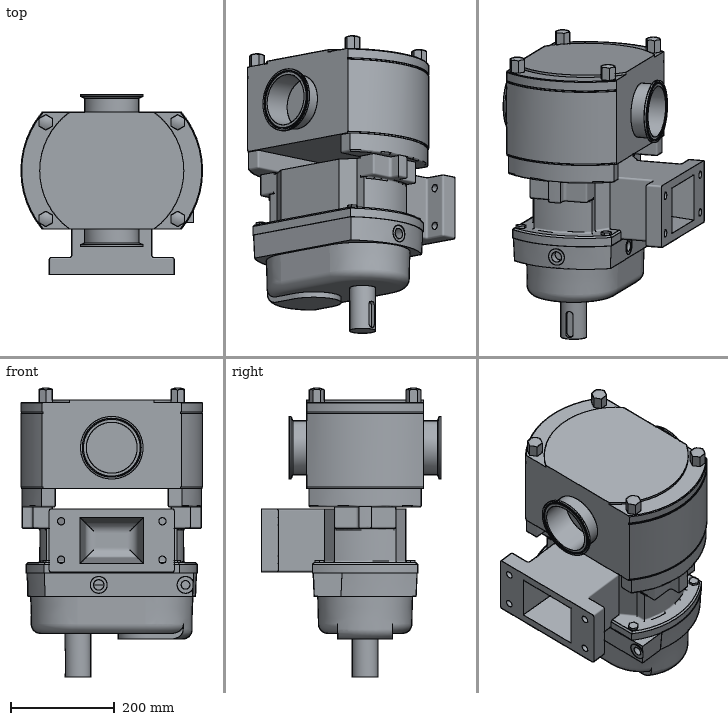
import cadquery as cq
import math


fit = 0.5

shaft_end_z = 0.0
pad_bottom_z = 73.5
bowl_bottom_z = 84.0
gearcase_bottom_z = 155.5
gearcase_top_z = 200.5
plate_top_z = 221.0
arm_bottom_z = 286.5
column_top_z = 324.5
saddle_bottom_z = 328.0
head_bottom_z = 363.5
lid_joint_z = 509.5
lid_top_z = 529.5
crown_top_z = 534.0
nut_top_z = 557.5

head_radius = 175.0
head_half_depth = 112.5
crown_radius = 139.0
joint_groove_height = 3.0
joint_groove_depth = 1.0
lid_edge_chamfer = 1.5

nut_x = 127.0
nut_y = 93.0
nut_across_flats = 25.5
nut_dome_radius = 29.0

nozzle_z = 442.0
nozzle_end_y = 146.5
nozzle_tube_radius = 52.5
nozzle_bore_radius = 49.0
nozzle_bore_depth = 56.0
ferrule_radius = 60.0
ferrule_rim = 4.0
ferrule_cone = 3.5
gasket_groove_radius = 54.5
gasket_groove_width = 2.0
gasket_groove_depth = 1.0

saddle_radius = 173.5
saddle_half_depth = 108.0
saddle_inner_x = 108.5
saddle_fillet = 3.5
arm_x = 151.5
arm_half_depth = 59.0
rib_radius = 173.0
rib_half_width = 12.0
rib_fillet = 5.5
arm_fillet = 3.5

column_wall_radius = 139.0
column_half_depth = 78.5
column_side_x = 115.5
column_side_half_depth = 53.5
column_face_half_width = 77.5
column_fillet = 3.5

bracket_half_width = 77.5
foot_half_width = 120.5
foot_thickness = 33.0
foot_face_y = -200.0
bracket_top_z = column_top_z
bracket_bottom_z = 202.5
bracket_fillet = 4.0
foot_hole_radius = 6.95
foot_hole_x = 97.5
foot_hole_spacing_z = 74.0
pocket_width = 122.5
pocket_height = 89.0
pocket_depth = 122.5
pocket_draft = 6.0
pocket_fillet = 19.5

plate_radius = 165.0
plate_half_depth = 101.5
plate_chamfer = 3.5
gearcase_radius = 164.0
gearcase_half_depth = 100.5
gearcase_draft = 2.5
plate_bolt_x = 122.0
plate_bolt_y = 87.5
plate_bolt_diameter = 20.0
plate_bolt_height = 4.5
port_z = 178.0
port_face_radius = 16.0
port_face_depth = 2.0
port_bore_radius = 10.0
port_bore_depth = 22.5
front_port_x = -25.0
boss_x = 142.0
boss_radius = 15.5
boss_bore_radius = 8.5
boss_length = 56.0

bowl_center_x = 65.0
bowl_radius = 91.5
bowl_draft = 1.5
bowl_fillet = 18.5
pad_radius = 53.0

shaft_x = -bowl_center_x
shaft_radius = 25.0
key_half_width = 7.5
key_bottom_z = 3.5
key_top_z = 54.5
key_depth = 8.5


def block(x_min, x_max, y_min, y_max, z_min, z_max):
    """Box given by its limits along the three axes."""
    size = (x_max - x_min, y_max - y_min, z_max - z_min)
    return cq.Workplane("XY").box(*size, centered=False).translate((x_min, y_min, z_min))


def disc(radius, z_min, z_max, x=0.0):
    """Upright cylinder between two heights."""
    return cq.Workplane("XY", origin=(x, 0, z_min)).circle(radius).extrude(z_max - z_min)


def barrel_outline(workplane, radius, half_depth):
    """Circle cut off by two flats, at front and back."""
    corner_x = math.sqrt(radius**2 - half_depth**2)
    return (
        workplane.moveTo(-corner_x, -half_depth)
        .lineTo(corner_x, -half_depth)
        .threePointArc((radius, 0), (corner_x, half_depth))
        .lineTo(-corner_x, half_depth)
        .threePointArc((-radius, 0), (-corner_x, -half_depth))
        .close()
    )


def barrel(radius, half_depth, z_min, z_max):
    """Upright solid on the flatted circle."""
    workplane = cq.Workplane("XY", origin=(0, 0, z_min))
    return barrel_outline(workplane, radius, half_depth).extrude(z_max - z_min)


def on_both_sides(solid):
    """The solid together with its mirror image across the YZ plane."""
    return solid.union(solid.mirror("YZ"))


def make_head():
    head = barrel(head_radius, head_half_depth, head_bottom_z, lid_top_z)
    head = head.edges(">Z and %CIRCLE").chamfer(lid_edge_chamfer)
    ring = cq.Workplane("XY").circle(head_radius + 5.5).circle(head_radius - joint_groove_depth)
    groove = ring.extrude(joint_groove_height)
    for groove_z in (head_bottom_z, lid_joint_z - joint_groove_height / 2):
        head = head.cut(groove.translate((0, 0, groove_z)))
    return head.union(barrel(crown_radius, head_half_depth, lid_top_z, crown_top_z))


def make_nuts():
    corner_diameter = nut_across_flats / math.cos(math.pi / 6)
    places = [(x, y) for x in (-nut_x, nut_x) for y in (-nut_y, nut_y)]
    nuts = cq.Workplane("XY")
    hexagon = cq.Workplane("XY").polygon(6, corner_diameter).extrude(nut_top_z - lid_top_z)
    hexagon = hexagon.rotate((0, 0, 0), (0, 0, 1), 30)
    dome = cq.Workplane("XY").sphere(nut_dome_radius)
    nut = hexagon.intersect(dome.translate((0, 0, nut_top_z - lid_top_z - nut_dome_radius)))
    for x, y in places:
        nuts = nuts.union(nut.translate((x, y, lid_top_z)))
    return nuts


def make_nozzle():
    """Front nozzle: tube with a conical ferrule and a gasket groove in its face."""
    cone_end = nozzle_end_y - ferrule_rim - ferrule_cone
    groove_outer = gasket_groove_radius + gasket_groove_width
    groove_floor = nozzle_end_y - gasket_groove_depth
    profile = [
        (0, 0),
        (nozzle_tube_radius, 0),
        (nozzle_tube_radius, cone_end),
        (ferrule_radius, nozzle_end_y - ferrule_rim),
        (ferrule_radius, nozzle_end_y),
        (groove_outer, nozzle_end_y),
        (groove_outer, groove_floor),
        (gasket_groove_radius, groove_floor),
        (gasket_groove_radius, nozzle_end_y),
        (0, nozzle_end_y),
    ]
    nozzle = cq.Workplane("XY").polyline(profile).close().revolve(360, (0, 0), (0, 1))
    return nozzle.mirror("XZ").translate((0, 0, nozzle_z))


def make_nozzle_bore():
    """Front port, running from the nozzle mouth into the head."""
    mouth = cq.Workplane("XZ", origin=(0, -nozzle_end_y, nozzle_z))
    return mouth.circle(nozzle_bore_radius).extrude(-nozzle_bore_depth)


def make_arms():
    """Saddles under the head, each held by an arm with an outer rib."""
    saddle = barrel(saddle_radius, saddle_half_depth, saddle_bottom_z, head_bottom_z)
    saddle = saddle.intersect(
        block(saddle_inner_x, head_radius, -head_radius, head_radius, saddle_bottom_z, head_bottom_z)
    )
    saddle = saddle.edges("<X and |Z").fillet(saddle_fillet)
    saddle = saddle.faces("<Z").edges().fillet(saddle_fillet)
    arm_end_z = (saddle_bottom_z + head_bottom_z) / 2
    arm = block(
        saddle_inner_x + 5.5, arm_x, -arm_half_depth, arm_half_depth, arm_bottom_z, arm_end_z
    )
    arm = arm.edges(">X and |Z").fillet(arm_fillet)
    rib = block(
        saddle_inner_x + 5.5, head_radius, -rib_half_width, rib_half_width, arm_bottom_z, arm_end_z
    )
    rib = rib.intersect(disc(rib_radius, arm_bottom_z, arm_end_z))
    arm = arm.union(rib)
    rib_root = cq.selectors.BoxSelector(
        (arm_x - fit, -rib_half_width - fit, arm_bottom_z),
        (arm_x + fit, rib_half_width + fit, arm_end_z),
    )
    arm = arm.edges("|Z").edges(rib_root).fillet(rib_fillet)
    arm = arm.faces("<Z").edges("not <X").fillet(arm_fillet)
    return on_both_sides(saddle.union(arm))


def make_column():
    """Column core with slanted corners at front and back."""
    outline = [
        (column_face_half_width, -column_half_depth),
        (column_side_x - fit, -column_side_half_depth),
        (column_side_x - fit, column_side_half_depth),
        (column_face_half_width, column_half_depth),
    ]
    outline += [(-x, y) for x, y in reversed(outline)]
    column = cq.Workplane("XY", origin=(0, 0, port_z)).polyline(outline).close()
    return column.extrude(column_top_z - port_z)


def make_arm_cove():
    """Hollow fillet between the round column wall and the underside of the arms."""
    start = column_wall_radius - column_fillet
    outer = column_wall_radius + column_fillet
    lower_z = arm_bottom_z - column_fillet
    upper_z = arm_bottom_z + column_fillet
    diagonal = column_fillet * math.sqrt(0.5)
    half_width = arm_half_depth - arm_fillet
    cove = (
        cq.Workplane("XZ")
        .moveTo(start, lower_z)
        .lineTo(column_wall_radius, lower_z)
        .threePointArc((outer - diagonal, lower_z + diagonal), (outer, arm_bottom_z))
        .lineTo(outer, upper_z)
        .lineTo(start, upper_z)
        .close()
        .revolve(360, (0, 0), (0, 1))
    )
    return cove.intersect(block(-outer, outer, -half_width, half_width, lower_z, upper_z))


def make_bracket():
    foot_back_y = foot_face_y + foot_thickness
    web = block(
        -bracket_half_width, bracket_half_width, foot_face_y, 0, bracket_bottom_z, bracket_top_z
    )
    foot = block(
        -foot_half_width, foot_half_width, foot_face_y, foot_back_y, bracket_bottom_z, bracket_top_z
    )
    bracket = web.union(foot)
    back_edges = cq.selectors.BoxSelector(
        (-foot_half_width - fit, foot_back_y - fit, bracket_bottom_z),
        (foot_half_width + fit, foot_back_y + fit, bracket_top_z),
    )
    bracket = bracket.edges("|Z").edges(back_edges).fillet(bracket_fillet)
    bracket = bracket.faces(">Z or <Z").edges("not (<Y or >Y)").fillet(bracket_fillet)
    middle_z = (bracket_bottom_z + bracket_top_z) / 2
    face = cq.Workplane("XZ", origin=(0, foot_face_y, middle_z))
    holes = (
        face.rect(2 * foot_hole_x, foot_hole_spacing_z, forConstruction=True)
        .vertices()
        .circle(foot_hole_radius)
        .extrude(-foot_thickness)
    )
    return bracket.cut(holes)


def make_pocket():
    """Drafted pocket in the foot face, with a rounded floor edge."""
    middle_z = (bracket_bottom_z + bracket_top_z) / 2
    mouth = cq.Workplane("XZ", origin=(0, foot_face_y, middle_z)).rect(pocket_width, pocket_height)
    pocket = mouth.extrude(-pocket_depth, taper=pocket_draft)
    return pocket.faces(">Y").edges().fillet(pocket_fillet)


def make_gearcase():
    plate = barrel(plate_radius, plate_half_depth, gearcase_top_z, plate_top_z)
    plate = plate.faces(">Z").edges().chamfer(plate_chamfer)
    top = cq.Workplane("XY", origin=(0, 0, gearcase_top_z))
    case = barrel_outline(top, gearcase_radius, gearcase_half_depth).extrude(
        gearcase_bottom_z - gearcase_top_z, taper=gearcase_draft
    )
    boss = (
        top.center(boss_x, boss_length / 2 - gearcase_half_depth)
        .rect(2 * boss_radius, boss_length)
        .extrude(gearcase_bottom_z - gearcase_top_z, taper=gearcase_draft)
    )
    case = case.union(boss)
    front = cq.Workplane("XZ", origin=(front_port_x, -gearcase_half_depth, port_z))
    side = cq.Workplane("YZ", origin=(-gearcase_radius, 0, port_z))
    boss_face = cq.Workplane("XZ", origin=(boss_x, -gearcase_half_depth, port_z))
    ports = (
        (front, -1, port_bore_radius),
        (side, 1, port_bore_radius),
        (boss_face, -1, boss_bore_radius),
    )
    for face, inward, bore_radius in ports:
        case = case.cut(face.circle(port_face_radius).extrude(inward * port_face_depth))
        case = case.cut(face.circle(bore_radius).extrude(inward * port_bore_depth))
    return plate.union(case)


def make_plate_bolts():
    return (
        cq.Workplane("XY", origin=(0, 0, plate_top_z))
        .rect(2 * plate_bolt_x, 2 * plate_bolt_y, forConstruction=True)
        .vertices()
        .polygon(6, plate_bolt_diameter)
        .extrude(plate_bolt_height)
    )


def make_bowl(bottom_z):
    """Drafted oblong cover with a rounded lower edge."""
    bowl = (
        cq.Workplane("XY", origin=(0, 0, gearcase_bottom_z))
        .slot2D(2 * (bowl_center_x + bowl_radius), 2 * bowl_radius)
        .extrude(bottom_z - gearcase_bottom_z, taper=bowl_draft)
    )
    return bowl.faces("<Z").edges().fillet(bowl_fillet)


def make_pad():
    """Lower part of the bowl around the second axis, open to the +X end."""
    pad = disc(pad_radius, pad_bottom_z, gearcase_bottom_z, bowl_center_x)
    pad = pad.union(
        block(
            bowl_center_x, head_radius, -pad_radius, pad_radius, pad_bottom_z, gearcase_bottom_z
        )
    )
    return pad.intersect(make_bowl(pad_bottom_z))


def make_shaft():
    shaft = disc(shaft_radius, shaft_end_z, gearcase_bottom_z, shaft_x)
    key_length = key_top_z - key_bottom_z
    keyway = (
        cq.Workplane("YZ", origin=(shaft_x - shaft_radius, 0, (key_bottom_z + key_top_z) / 2))
        .slot2D(key_length, 2 * key_half_width, 90)
        .extrude(key_depth)
    )
    return shaft.cut(keyway)


wall_ring = column_wall_radius + fit
column_foot = cq.selectors.BoxSelector(
    (-wall_ring, -column_half_depth - fit, plate_top_z - fit),
    (wall_ring, column_half_depth + fit, plate_top_z + fit),
)
core = block(
    -column_side_x, column_side_x, -arm_half_depth, arm_half_depth, port_z, column_top_z
)
column_wall = barrel(column_wall_radius, arm_half_depth, port_z, arm_bottom_z)
body = make_gearcase().union(core).union(column_wall).union(make_arm_cove()).union(make_arms())
body = body.union(make_column())
body = body.edges(column_foot).fillet(column_fillet)
body = body.union(make_plate_bolts()).union(make_bracket()).cut(make_pocket())

front_nozzle = make_nozzle()
front_bore = make_nozzle_bore()
head = make_head().union(make_nuts()).union(front_nozzle).union(front_nozzle.mirror("XZ"))
head = head.cut(front_bore).cut(front_bore.mirror("XZ"))

result = (
    body.union(head)
    .union(make_bowl(bowl_bottom_z))
    .union(make_pad())
    .union(make_shaft())
)